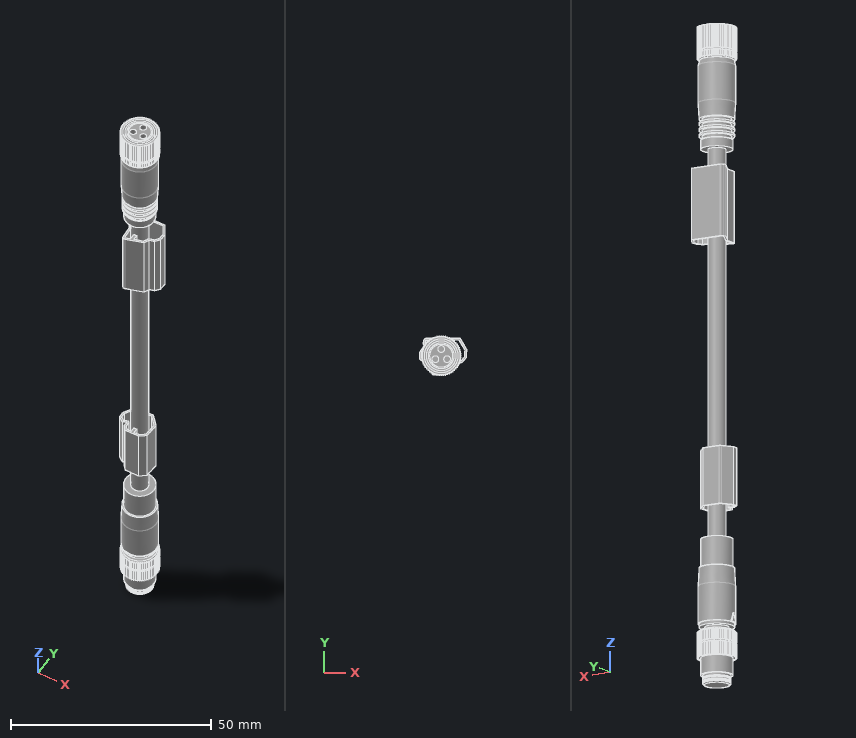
import cadquery as cq
import math

total_length = 168.7
cable_radius = 4.5 / 2
body_radius = 9.5 / 2
shoulder_radius = 9.0 / 2

knurl_tip_radius = 10.0 / 2
knurl_tooth_depth = 0.25
knurl_root_radius = knurl_tip_radius - knurl_tooth_depth
knurl_teeth = 60
knurl_chamfer = 0.5
ring_groove_width = 0.5
ring_groove_root_radius = 4.4

socket_ring_bottom = 160.3
socket_groove_z = 162.5
socket_neck_radius = 4.4
socket_body_top = 158.9
socket_body_bottom = 149.3
socket_taper_bottom = 145.3
strain_core_radius = 3.7
strain_rib_centres = (144.0, 142.5, 141.0)
strain_rib_thickness = 0.5
collar_radius = 4.0
collar_top = 139.9
collar_bottom = 137.5
socket_bore_radius = 4.2
socket_bore_depth = 5
insert_sleeve_radius = 3.7
insert_sleeve_bore_radius = 3.2
insert_radius = 2.9
contact_count = 3
contact_circle_radius = 1.7
contact_hole_radius = 0.8
contact_hole_depth = 3.4

sleeve_radius = 4.0
sleeve_top = 37.5
plug_shoulder_top = 30.0
plug_body_top = 25.3
plug_body_bottom = 15.7
plug_lip_bottom = 14.8
plug_neck_radius = 3.0
plug_ring_top = 13.8
plug_ring_bottom = 7.0
plug_groove_z = 10.6
shell_radius = sleeve_radius
shell_bottom = 2.5
thread_radius = 3.5
thread_root_radius = 3.2
thread_pitch = 0.8
thread_groove_count = 2
thread_groove_width = 0.3
tip_chamfer = 0.3

mark_half_width = 0.8
mark_height = 2.4
mark_face_x = -knurl_tip_radius
mark_depth = 0.8

clip_wall = 0.5
upper_clip_bottom = 114.0
upper_clip_top = 132.5
lower_clip_bottom = 45.5
lower_clip_top = 60.4
web_thickness = 0.8
clip_corner_radius = 0.7
upper_clip_outline = [
    (-4.5, 3.0), (-2.5, -1.0), (-2.4, -5.0), (3.2, -3.4), (3.9, -2.0),
    (5.2, -1.7), (6.2, -0.5), (6.4, 1.5), (4.7, 4.4), (-4.2, 4.4),
]
upper_clip_round_corners = [upper_clip_outline[index] for index in (0, 2, -1)]
lower_clip_outline = [
    (-5.4, 0.8), (-5.4, -0.8), (-3.9, -2.0), (-2.9, -1.5), (-2.9, -2.9), (-1.9, -4.0),
    (2.0, -4.0), (3.7, -2.9), (4.0, 1.2), (1.7, 3.9), (-3.4, 3.9),
]
lower_clip_round_corners = [lower_clip_outline[-1]]


def cylinder(radius, bottom, top):
    return cq.Workplane("XY").workplane(offset=bottom).circle(radius).extrude(top - bottom)


def cone(bottom_radius, top_radius, bottom, top):
    lower = cq.Workplane("XY").workplane(offset=bottom).circle(bottom_radius)
    return lower.workplane(offset=top - bottom).circle(top_radius).loft(ruled=True)


def ring_groove(root_radius, centre_z, width):
    """Cutter for a groove that reaches from root_radius past every outer surface."""
    ring = cq.Workplane("XY").workplane(offset=centre_z - width / 2)
    return ring.circle(2 * knurl_tip_radius).circle(root_radius).extrude(width)


def knurled_ring(bottom, top, groove_z):
    """Ring with pointed teeth, one chamfered end edge and a thin groove around it."""
    half_tooth = math.pi / knurl_teeth
    points = []
    for index in range(2 * knurl_teeth):
        radius = knurl_root_radius if index % 2 else knurl_tip_radius
        points.append((radius * math.cos(index * half_tooth), radius * math.sin(index * half_tooth)))
    ring = cq.Workplane("XY").workplane(offset=bottom).polyline(points).close().extrude(top - bottom)
    return ring.cut(ring_groove(ring_groove_root_radius, groove_z, ring_groove_width))


def chamfer_cutter(edge_z, direction):
    """Triangle swept around Z that bevels the tooth ends; direction points out of the ring end."""
    inner = knurl_tip_radius - knurl_chamfer
    outer = knurl_tip_radius + knurl_chamfer
    profile = [(inner, edge_z), (outer, edge_z), (outer, edge_z - 2 * direction * knurl_chamfer)]
    return cq.Workplane("XZ").polyline(profile).close().revolve(360, (0, 0, 0), (0, 1, 0))


def socket():
    ring = knurled_ring(socket_ring_bottom, total_length, socket_groove_z)
    part = ring.cut(chamfer_cutter(socket_ring_bottom, -1))
    part = part.union(cone(body_radius, socket_neck_radius, socket_body_top, socket_ring_bottom))
    part = part.union(cylinder(body_radius, socket_body_bottom, socket_body_top))
    part = part.union(cone(shoulder_radius, body_radius, socket_taper_bottom, socket_body_bottom))
    part = part.union(cylinder(strain_core_radius, collar_top, socket_taper_bottom))
    for centre in strain_rib_centres:
        half = strain_rib_thickness / 2
        part = part.union(cylinder(shoulder_radius, centre - half, centre + half))
    part = part.union(cylinder(collar_radius, collar_bottom, collar_top))

    bore_floor = total_length - socket_bore_depth
    part = part.cut(cylinder(socket_bore_radius, bore_floor, total_length))
    part = part.union(cylinder(insert_sleeve_radius, bore_floor, total_length))
    part = part.cut(cylinder(insert_sleeve_bore_radius, bore_floor, total_length))
    part = part.union(cylinder(insert_radius, bore_floor, total_length))
    holes = (
        cq.Workplane("XY").workplane(offset=total_length - contact_hole_depth)
        .polarArray(contact_circle_radius, 90, 360, contact_count)
        .circle(contact_hole_radius).extrude(contact_hole_depth)
    )
    return part.cut(holes)


def alignment_mark():
    outline = [
        (-mark_half_width, plug_body_bottom),
        (mark_half_width, plug_body_bottom),
        (0, plug_body_bottom + mark_height),
    ]
    return cq.Workplane("YZ").workplane(offset=mark_face_x).polyline(outline).close().extrude(mark_depth)


def plug():
    part = cylinder(sleeve_radius, plug_shoulder_top, sleeve_top)
    part = part.union(cone(body_radius, shoulder_radius, plug_body_top, plug_shoulder_top))
    part = part.union(cylinder(body_radius, plug_body_bottom, plug_body_top))
    part = part.union(cylinder(shoulder_radius, plug_lip_bottom, plug_body_bottom))
    part = part.union(alignment_mark())
    part = part.union(cylinder(plug_neck_radius, plug_ring_top, plug_lip_bottom))
    ring = knurled_ring(plug_ring_bottom, plug_ring_top, plug_groove_z)
    part = part.union(ring.cut(chamfer_cutter(plug_ring_top, 1)))
    part = part.union(cylinder(shell_radius, shell_bottom, plug_ring_bottom))

    tip = cylinder(thread_radius, 0, shell_bottom).faces("<Z").chamfer(tip_chamfer)
    for index in range(thread_groove_count):
        tip = tip.cut(ring_groove(thread_root_radius, (index + 1) * thread_pitch, thread_groove_width))
    return part.union(tip)


def clip(outline, round_corners, bottom, top):
    """Thin-walled tube around the cable, held to it by a web across the tube."""
    height = top - bottom
    base = cq.Workplane("XY").workplane(offset=bottom)
    solid = base.polyline(outline).close().extrude(height)
    for x, y in round_corners:
        corner = cq.selectors.NearestToPointSelector((x, y, bottom + height / 2))
        solid = solid.edges("|Z").edges(corner).fillet(clip_corner_radius)
    cavity = solid.faces("<Z").wires().toPending().offset2D(-clip_wall).extrude(height, combine=False)
    front_y = min(y for x, y in outline)
    web = base.center(0, front_y / 2).rect(web_thickness, -front_y).extrude(height)
    return solid.cut(cavity).union(web.intersect(solid))


cable = cylinder(cable_radius, sleeve_top, collar_bottom)
result = (
    cable.union(socket())
    .union(plug())
    .union(clip(upper_clip_outline, upper_clip_round_corners, upper_clip_bottom, upper_clip_top))
    .union(clip(lower_clip_outline, lower_clip_round_corners, lower_clip_bottom, lower_clip_top))
)